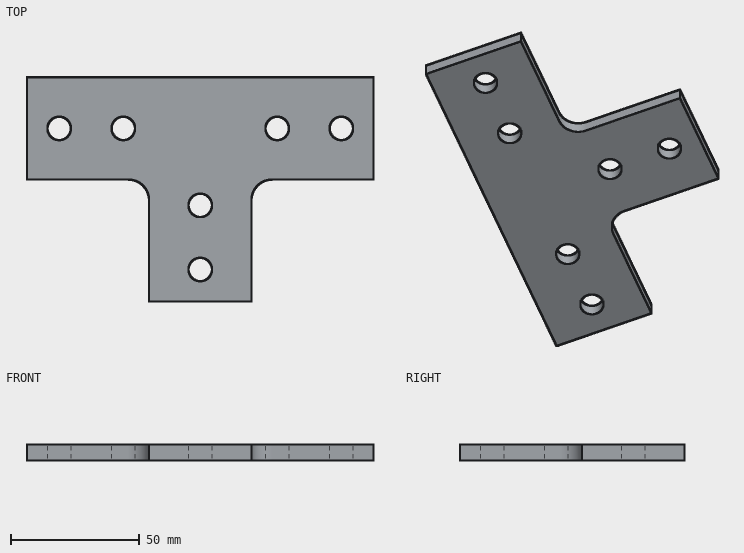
import cadquery as cq

bar_length = 135.0
plate_depth = 87.5
thickness = 6.3

arm_width = 40.0
inner_corner_radius = 8.0
selection_margin = 1.4

hole_diameter = 9.0
end_margin = 12.5
hole_pitch = 25.0

back_y = plate_depth / 2
front_y = -plate_depth / 2
bar_front_y = back_y - arm_width
bar_center_y = back_y - arm_width / 2


def make_plate():
    """T-shaped plate with rounded inner corners."""
    half_bar = bar_length / 2
    half_stem = arm_width / 2
    plate = (
        cq.Workplane("XY")
        .moveTo(-half_bar, back_y)
        .lineTo(half_bar, back_y)
        .lineTo(half_bar, bar_front_y)
        .lineTo(half_stem, bar_front_y)
        .lineTo(half_stem, front_y)
        .lineTo(-half_stem, front_y)
        .lineTo(-half_stem, bar_front_y)
        .lineTo(-half_bar, bar_front_y)
        .close()
        .extrude(thickness)
    )
    inner_corners = cq.selectors.BoxSelector(
        (-half_stem - selection_margin, bar_front_y - selection_margin, -selection_margin),
        (half_stem + selection_margin, bar_front_y + selection_margin, thickness + selection_margin),
    )
    return plate.edges("|Z").edges(inner_corners).fillet(inner_corner_radius)


def hole_centers():
    """Centres of the hole pairs on the centrelines of the arms."""
    centers = []
    for index in range(2):
        distance_from_end = end_margin + index * hole_pitch
        bar_x = bar_length / 2 - distance_from_end
        centers.append((-bar_x, bar_center_y))
        centers.append((bar_x, bar_center_y))
        centers.append((0, front_y + distance_from_end))
    return centers


def make_hole_pins():
    """Cylinders that cut the bolt holes through the full thickness."""
    return cq.Workplane("XY").pushPoints(hole_centers()).circle(hole_diameter / 2).extrude(thickness)


result = make_plate().cut(make_hole_pins())